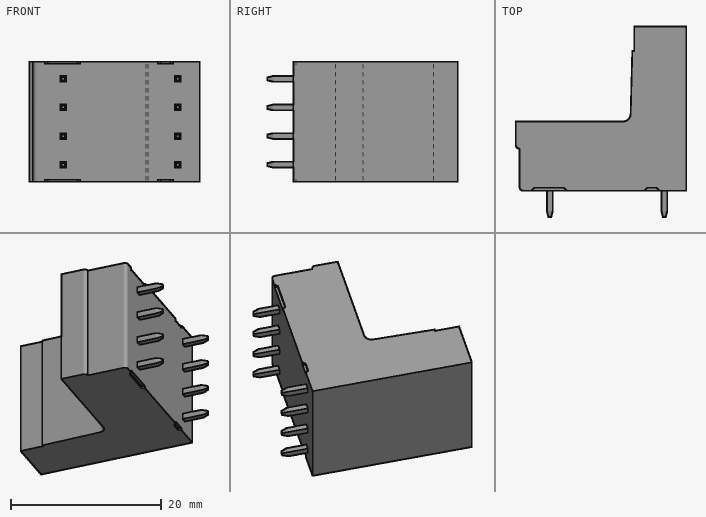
import cadquery as cq
import math

housing_length = 22.7
housing_depth = 21.9
housing_height = 16.03

shoulder_y = 9.25
lip_overhang = 0.5
lip_y = 5.6
edge_radius = 0.5

tower_width = 6.95
tower_step = 0.25
tower_step_y = 18.63
tower_draft = 1.5
inner_corner_radius = 1.0

pin_width = 0.8
pin_tip_width = 0.4
pin_length = 3.5
pin_tip_length = 0.8
pin_pitch = 3.81
pins_per_row = 4
first_row_x = 4.54
row_spacing = 4 * pin_pitch
pin_row_xs = (first_row_x, first_row_x + row_spacing)

recess_depth_y = 0.4
recess_depth_z = 0.3
long_recess_x = 2.07
long_recess_length = 4.75
short_recess_x = 17.1
short_recess_length = 2.05
recesses = (
    (long_recess_x, long_recess_length),
    (short_recess_x, short_recess_length),
)


def make_housing():
    tower_x = housing_length - tower_width
    step_x = tower_x - tower_step
    inner_corner_x = step_x - (tower_step_y - shoulder_y) * math.tan(math.radians(tower_draft))
    profile = (
        cq.Workplane("XY", origin=(0, 0, -housing_height / 2))
        .moveTo(lip_overhang, 0)
        .lineTo(housing_length, 0)
        .lineTo(housing_length, housing_depth)
        .lineTo(tower_x, housing_depth)
        .lineTo(tower_x, tower_step_y)
        .lineTo(step_x, tower_step_y)
        .lineTo(inner_corner_x, shoulder_y)
        .lineTo(0, shoulder_y)
        .lineTo(0, lip_y + edge_radius)
        .radiusArc((lip_overhang, lip_y), -edge_radius)
        .close()
    )
    housing = profile.extrude(housing_height)
    pin_side_corner = cq.selectors.NearestToPointSelector((lip_overhang, 0, 0))
    inner_corner = cq.selectors.NearestToPointSelector((inner_corner_x, shoulder_y, 0))
    housing = housing.edges(pin_side_corner).fillet(edge_radius)
    return housing.edges(inner_corner).fillet(inner_corner_radius)


def make_recess(start_x, length, bottom_z):
    """Trapezoid with 45 degree ends, widest at the pin-side face."""
    end_x = start_x + length
    return (
        cq.Workplane("XY", origin=(0, 0, bottom_z))
        .moveTo(start_x, 0)
        .lineTo(end_x, 0)
        .lineTo(end_x - recess_depth_y, recess_depth_y)
        .lineTo(start_x + recess_depth_y, recess_depth_y)
        .close()
        .extrude(recess_depth_z)
    )


def make_pin(x, z):
    """Square pin pointing along -Y, ending in a pyramidal tip."""
    shank_length = pin_length - pin_tip_length
    shank = (
        cq.Workplane("XZ", origin=(x, 0, z))
        .rect(pin_width, pin_width)
        .extrude(shank_length)
    )
    tip = (
        cq.Workplane("XZ", origin=(x, -shank_length, z))
        .rect(pin_width, pin_width)
        .workplane(offset=pin_tip_length)
        .rect(pin_tip_width, pin_tip_width)
        .loft()
    )
    return shank.union(tip)


result = make_housing()

for recess_x, recess_length in recesses:
    for recess_z in (-housing_height / 2, housing_height / 2 - recess_depth_z):
        result = result.cut(make_recess(recess_x, recess_length, recess_z))

for pin_x in pin_row_xs:
    for index in range(pins_per_row):
        pin_z = (index - (pins_per_row - 1) / 2) * pin_pitch
        result = result.union(make_pin(pin_x, pin_z))